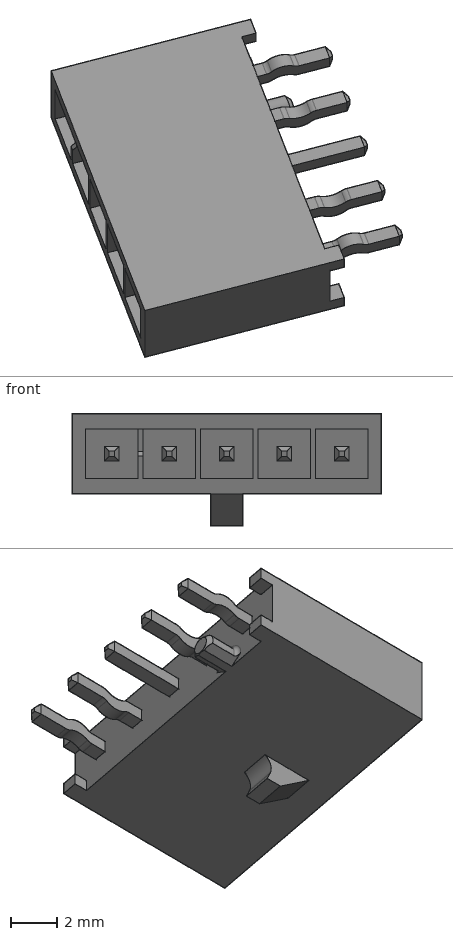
import cadquery as cq
import math

housing_width = 13.44
housing_height = 3.5
housing_depth = 8.45
mid_z = housing_height / 2

pitch = 2.5
pin_count = 5
pin_xs = [(i - (pin_count - 1) / 2) * pitch for i in range(pin_count)]

cavity_width = 2.27
cavity_height = 2.15
back_wall = 0.95
cavity_depth = housing_depth - back_wall
cavity_floor_z = mid_z - cavity_height / 2
partition_width = pitch - cavity_width

notch_x = (pin_xs[0] + pin_xs[1]) / 2
notch_floor_z = 1.85
notch_depth = 2.0
notch_chamfer = 0.2

ear_width = 0.78
ear_height = 0.62
ear_length = 0.65

peg_x = notch_x
peg_z = 0.42
peg_radius = 0.6
peg_length = 1.6
peg_chamfer = 0.2
peg_root_fillet = 0.2
peg_bevel_height = 0.24
peg_bottom_width = 0.4

latch_width = 1.41
latch_height = 1.38
latch_front_y = 1.41
latch_tip_front_y = 3.02
latch_tip_back_y = 3.76
latch_back_y = 3.88
latch_neck_y = 3.53
latch_neck_drop = 0.66
latch_arc_end_y = 3.6
latch_arc_end_drop = 0.95

pin_size = 0.63
pin_front_y = 2.0
pin_back_y = 12.26
pin_tip_chamfer = 0.2

kink_y = housing_depth + 1.46
kink_half_length = 0.74
outer_rise = 0.25
outer_crown_half_length = 0.51
inner_rise = 0.22
inner_crown_half_length = 0.48
kink_directions = [1, -1, 0, -1, 1]


def box(x_center, width, y_min, y_max, z_min, z_max):
    """Box centred in X, given by its limits in Y and Z."""
    block = cq.Workplane("XY").box(width, y_max - y_min, z_max - z_min, centered=(True, False, False))
    return block.translate((x_center, y_min, z_min))


def make_notch():
    """Cutter that lowers the first partition and bevels its front top edge."""
    ceiling_z = cavity_floor_z + cavity_height
    return (
        cq.Workplane("YZ", origin=(notch_x, 0, 0))
        .moveTo(0, notch_floor_z - notch_chamfer)
        .lineTo(notch_chamfer, notch_floor_z)
        .lineTo(notch_depth, notch_floor_z)
        .lineTo(notch_depth, ceiling_z)
        .lineTo(0, ceiling_z)
        .close()
        .extrude(partition_width / 2, both=True)
    )


def make_ears():
    """Four corner ears behind the back face."""
    ears = []
    ear_x = (housing_width - ear_width) / 2
    for x in (-ear_x, ear_x):
        for z in (0, housing_height - ear_height):
            ears.append(box(x, ear_width, housing_depth, housing_depth + ear_length, z, z + ear_height))
    return ears


def make_peg():
    """Locating peg with a bevelled tip, a filleted root and a trimmed underside."""
    root_radius = peg_radius + peg_root_fillet
    arc_offset = peg_root_fillet * (1 - math.sqrt(0.5))
    round_peg = (
        cq.Workplane("XY", origin=(peg_x, housing_depth, peg_z))
        .lineTo(root_radius, 0)
        .threePointArc((peg_radius + arc_offset, arc_offset), (peg_radius, peg_root_fillet))
        .lineTo(peg_radius, peg_length - peg_chamfer)
        .lineTo(peg_radius - peg_chamfer, peg_length)
        .lineTo(0, peg_length)
        .close()
        .revolve(360, (0, 0, 0), (0, 1, 0))
    )
    bottom_half = peg_bottom_width / 2
    bevel_drop = peg_z - peg_bevel_height
    bevel_half = math.sqrt(peg_radius**2 - bevel_drop**2)
    side_half = 2 * root_radius
    side_z = peg_bevel_height * (side_half - bottom_half) / (bevel_half - bottom_half)
    top_z = side_z + root_radius
    limits = (
        cq.Workplane("XZ", origin=(peg_x, housing_depth, 0))
        .polyline(
            [
                (-bottom_half, 0),
                (bottom_half, 0),
                (side_half, side_z),
                (side_half, top_z),
                (-side_half, top_z),
                (-side_half, side_z),
            ]
        )
        .close()
        .extrude(-peg_length)
    )
    return round_peg.intersect(limits)


def make_latch():
    """Hook with a sloping front and a hollow back."""
    return (
        cq.Workplane("YZ")
        .moveTo(latch_front_y, 0)
        .lineTo(latch_tip_front_y, -latch_height)
        .lineTo(latch_tip_back_y, -latch_height)
        .lineTo(latch_arc_end_y, -latch_arc_end_drop)
        .threePointArc((latch_neck_y, -latch_neck_drop), (latch_back_y, 0))
        .close()
        .extrude(latch_width / 2, both=True)
    )


def make_housing():
    housing = box(0, housing_width, 0, housing_depth, 0, housing_height)
    for ear in make_ears():
        housing = housing.union(ear)
    housing = housing.union(make_peg()).union(make_latch())
    for x in pin_xs:
        cavity = box(x, cavity_width, 0, cavity_depth, cavity_floor_z, cavity_floor_z + cavity_height)
        pin_hole = box(x, pin_size, cavity_depth, housing_depth, mid_z - pin_size / 2, mid_z + pin_size / 2)
        housing = housing.cut(cavity).cut(pin_hole)
    return housing.cut(make_notch())


def kink_points(base_z, direction, is_outer):
    """Seven points along a kink from front to back: ends, joints and arc middles."""
    rise = outer_rise if is_outer else inner_rise
    crown_half_length = outer_crown_half_length if is_outer else inner_crown_half_length
    slope = 2 * math.atan(rise / kink_half_length)
    root_radius = (kink_half_length - crown_half_length) / math.sin(slope)
    joint_rise = root_radius * (1 - math.cos(slope))
    root_mid = kink_half_length - root_radius * math.sin(slope / 2)
    root_mid_rise = root_radius * (1 - math.cos(slope / 2))
    half = [
        (kink_half_length, 0),
        (root_mid, root_mid_rise),
        (crown_half_length, joint_rise),
    ]
    rising = [(kink_y - y, base_z + direction * z) for y, z in half]
    crown = [(kink_y, base_z + direction * rise)]
    falling = [(kink_y + y, base_z + direction * z) for y, z in reversed(half)]
    return rising + crown + falling


def draw_kink(sketch, points):
    """Line to the start of a kink, then its three arcs."""
    sketch = sketch.lineTo(*points[0])
    for middle, end in ((1, 2), (3, 4), (5, 6)):
        sketch = sketch.threePointArc(points[middle], points[end])
    return sketch


def make_pin(x, direction):
    """Square pin with bevelled ends; its tail kinks along Z when direction is not 0."""
    bottom_z = mid_z - pin_size / 2
    top_z = mid_z + pin_size / 2
    outline = cq.Workplane("YZ", origin=(x, 0, 0)).moveTo(pin_front_y, bottom_z)
    if direction != 0:
        outline = draw_kink(outline, kink_points(bottom_z, direction, direction < 0))
    outline = outline.lineTo(pin_back_y, bottom_z).lineTo(pin_back_y, top_z)
    if direction != 0:
        outline = draw_kink(outline, kink_points(top_z, direction, direction > 0)[::-1])
    outline = outline.lineTo(pin_front_y, top_z).close()
    pin = outline.extrude(pin_size / 2, both=True)
    return pin.faces("<Y or >Y").edges().chamfer(pin_tip_chamfer)


housing = make_housing()
pins = [make_pin(x, direction) for x, direction in zip(pin_xs, kink_directions)]
result = cq.Compound.makeCompound([housing.solids().val(), *[pin.solids().val() for pin in pins]])